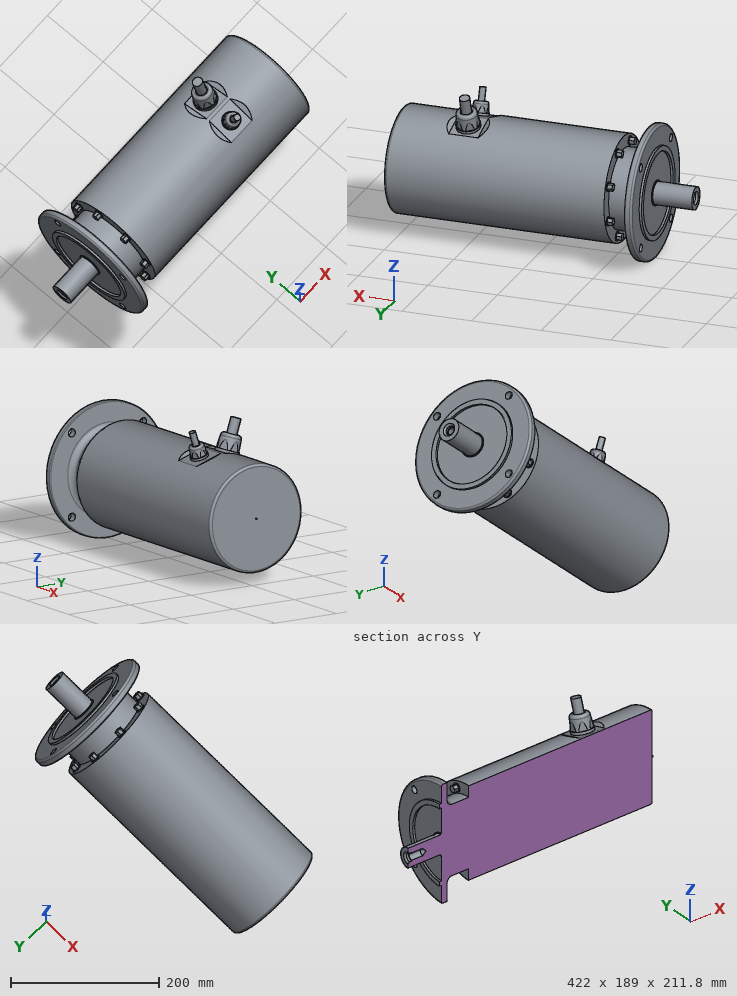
import cadquery as cq
import math

SHAFT_DIAMETER = 32.0
SPIGOT_FRONT = 54.0
SPIGOT_DIAMETER = 130.0
SPIGOT_HEIGHT = 3.5
SPIGOT_RECESS_DIAMETER = 115.0
SPIGOT_RECESS_DEPTH = 3.5
SHAFT_COLLAR_DIAMETER = 35.0
SHAFT_COLLAR_LENGTH = 1.3

FLANGE_FRONT = SPIGOT_FRONT + SPIGOT_HEIGHT
FLANGE_DIAMETER = 189.0
FLANGE_THICKNESS = 10.5
FLANGE_REAR = FLANGE_FRONT + FLANGE_THICKNESS
FLANGE_FRONT_FILLET = 3.0
FLANGE_REAR_FILLET = 1.3
FLANGE_HOLE_DIAMETER = 11.0
FLANGE_HOLE_CIRCLE = 165.0
FLANGE_HOLE_COUNT = 4
FLANGE_HOLE_START = 45.0

NECK_DIAMETER = 114.0
NECK_FILLET = 8.5

BODY_DIAMETER = 150.2
BODY_FRONT = 104.2
BODY_REAR = 420.7
BODY_REAR_FILLET = 3.5
OVERALL_LENGTH = 422.0
REAR_PIN_DIAMETER = 1.5

COUNTERSINK_DIAMETER = 18.5
COUNTERBORE_DIAMETER = 13.0
COUNTERBORE_DEPTH = 6.5
TAP_DIAMETER = 10.5
TAP_DEPTH = 25.5

SCREW_COUNT = 8
SCREW_CIRCLE = 130.5
SCREW_ACROSS_FLATS = 9.3
SCREW_HEAD_HEIGHT = 7.0
SCREW_HEXAGON_TURN = 30.0
WASHER_DIAMETER = 13.0
WASHER_THICKNESS = 1.0

GLAND_X = 318.5
GLAND_TILT = 18.0
GLAND_HEXAGON_TURN = 30.0
POCKET_LENGTH = 42.0
POCKET_RIM_LENGTH = 57.5
POCKET_FLOOR = 72.0


def disc(diameter, start, end):
    """Solid cylinder along X from start to end."""
    return cq.Workplane("YZ", origin=(start, 0, 0)).circle(diameter / 2).extrude(end - start)


def across_corners(across_flats):
    """Corner-to-corner width of a regular hexagon of the given width across flats."""
    return across_flats / math.cos(math.pi / 6)


def make_flange():
    """Mounting flange with rounded edges, a recessed spigot, a shaft collar and four holes."""
    plate = disc(FLANGE_DIAMETER, FLANGE_FRONT, FLANGE_REAR)
    plate = plate.faces("<X").edges().fillet(FLANGE_FRONT_FILLET)
    plate = plate.faces(">X").edges().fillet(FLANGE_REAR_FILLET)
    spigot = disc(SPIGOT_DIAMETER, SPIGOT_FRONT, FLANGE_FRONT)
    recess_floor = SPIGOT_FRONT + SPIGOT_RECESS_DEPTH
    recess = disc(SPIGOT_RECESS_DIAMETER, SPIGOT_FRONT, recess_floor)
    collar = disc(SHAFT_COLLAR_DIAMETER, recess_floor - SHAFT_COLLAR_LENGTH, recess_floor)
    holes = (
        cq.Workplane("YZ", origin=(FLANGE_FRONT, 0, 0))
        .polarArray(FLANGE_HOLE_CIRCLE / 2, FLANGE_HOLE_START, 360, FLANGE_HOLE_COUNT)
        .circle(FLANGE_HOLE_DIAMETER / 2)
        .extrude(FLANGE_THICKNESS)
    )
    return plate.union(spigot).cut(recess).union(collar).cut(holes)


def make_neck():
    """Neck between flange and body, flaring into the flange with a concave fillet."""
    radius = NECK_DIAMETER / 2
    fillet_end = FLANGE_REAR + NECK_FILLET
    bulge = NECK_FILLET * (1 - math.sqrt(0.5))
    return (
        cq.Workplane("XY")
        .moveTo(FLANGE_REAR, 0)
        .lineTo(FLANGE_REAR, radius + NECK_FILLET)
        .threePointArc((FLANGE_REAR + bulge, radius + bulge), (fillet_end, radius))
        .lineTo(BODY_FRONT, radius)
        .lineTo(BODY_FRONT, 0)
        .close()
        .revolve(360, (0, 0, 0), (1, 0, 0))
    )


def make_shaft():
    """Shaft end, running back into the flange through the collar."""
    return disc(SHAFT_DIAMETER, 0, FLANGE_REAR)


def make_centre_hole():
    """Countersunk and counterbored tap hole with a drill point, cut from the shaft tip."""
    sink_radius = COUNTERSINK_DIAMETER / 2
    bore_radius = COUNTERBORE_DIAMETER / 2
    tap_radius = TAP_DIAMETER / 2
    return (
        cq.Workplane("XY")
        .moveTo(0, 0)
        .lineTo(0, sink_radius)
        .lineTo(sink_radius - bore_radius, bore_radius)
        .lineTo(COUNTERBORE_DEPTH, bore_radius)
        .lineTo(COUNTERBORE_DEPTH, tap_radius)
        .lineTo(TAP_DEPTH, tap_radius)
        .lineTo(TAP_DEPTH + tap_radius, 0)
        .close()
        .revolve(360, (0, 0, 0), (1, 0, 0))
    )


def make_body():
    """Cylindrical motor body with a rounded rear edge and a small centre pin behind it."""
    body = disc(BODY_DIAMETER, BODY_FRONT, BODY_REAR).faces(">X").edges().fillet(BODY_REAR_FILLET)
    return body.union(disc(REAR_PIN_DIAMETER, BODY_REAR, OVERALL_LENGTH))


def make_screw(angle):
    """Hexagon head on its washer, seated on the front face of the body at the given angle."""
    head_seat = BODY_FRONT - WASHER_THICKNESS
    washer = disc(WASHER_DIAMETER, head_seat, BODY_FRONT)
    head = (
        cq.Workplane("YZ", origin=(head_seat, 0, 0))
        .transformed(rotate=(0, 0, SCREW_HEXAGON_TURN))
        .polygon(6, across_corners(SCREW_ACROSS_FLATS))
        .extrude(-SCREW_HEAD_HEIGHT)
    )
    screw = washer.union(head).translate((0, SCREW_CIRCLE / 2, 0))
    return screw.rotate((0, 0, 0), (1, 0, 0), angle)


def tilt_into_place(upright, tilt):
    """Move a shape built on the Z axis to the gland position and lean it toward +Y by tilt."""
    return upright.rotate((0, 0, 0), (1, 0, 0), -tilt).translate((GLAND_X, 0, 0))


def make_pocket(tilt):
    """Flat cut with sloped ends into the side of the body."""
    rim_height = BODY_DIAMETER / 2
    upright = (
        cq.Workplane("XZ")
        .moveTo(-POCKET_LENGTH / 2, POCKET_FLOOR)
        .lineTo(POCKET_LENGTH / 2, POCKET_FLOOR)
        .lineTo(POCKET_RIM_LENGTH / 2, rim_height)
        .lineTo(-POCKET_RIM_LENGTH / 2, rim_height)
        .close()
        .extrude(BODY_DIAMETER / 4, both=True)
    )
    return tilt_into_place(upright, tilt)


def make_motor():
    """Motor as one solid: flange, neck, shaft end, body and screws, less centre hole and pockets."""
    motor = make_flange().union(make_neck()).union(make_shaft()).union(make_body())
    screw_pitch = 360 / SCREW_COUNT
    for index in range(SCREW_COUNT):
        motor = motor.union(make_screw((index + 0.5) * screw_pitch))
    motor = motor.cut(make_centre_hole())
    for tilt in (GLAND_TILT, -GLAND_TILT):
        motor = motor.cut(make_pocket(tilt))
    return motor


def make_gland(tilt, base_diameter, base_height, taper_diameter, across_flats,
               cap_diameter, cap_top, cap_fillet,
               mouth_diameter, mouth_depth, cable_diameter, cable_top):
    """Cable gland and its cable: round base, tapered hexagon, domed cap with a mouth round the cable.

    The tops of the cap and the cable are distances from the motor axis.
    """
    base_top = POCKET_FLOOR + base_height
    cap_radius = cap_diameter / 2
    taper_top = cap_top - cap_fillet
    base = cq.Workplane("XY", origin=(0, 0, POCKET_FLOOR)).circle(base_diameter / 2).extrude(base_height)
    cap = (
        cq.Workplane("XY", origin=(0, 0, base_top))
        .circle(cap_radius)
        .extrude(cap_top - base_top)
        .faces(">Z")
        .edges()
        .fillet(cap_fillet)
    )
    hexagon = (
        cq.Workplane("XY", origin=(0, 0, base_top))
        .transformed(rotate=(0, 0, GLAND_HEXAGON_TURN))
        .polygon(6, across_corners(across_flats))
        .extrude(taper_top - base_top)
    )
    taper = (
        cq.Workplane("XZ")
        .moveTo(0, base_top)
        .lineTo(taper_diameter / 2, base_top)
        .lineTo(cap_radius, taper_top)
        .lineTo(0, taper_top)
        .close()
        .revolve(360, (0, 0, 0), (0, 1, 0))
    )
    mouth_floor = cap_top - mouth_depth
    mouth = cq.Workplane("XY", origin=(0, 0, mouth_floor)).circle(mouth_diameter / 2).extrude(mouth_depth)
    cable = (
        cq.Workplane("XY", origin=(0, 0, mouth_floor))
        .circle(cable_diameter / 2)
        .extrude(cable_top - mouth_floor)
    )
    upright = base.union(hexagon.intersect(taper)).union(cap).cut(mouth).union(cable)
    return tilt_into_place(upright, tilt)


motor = make_motor()
power_gland = make_gland(
    tilt=GLAND_TILT,
    base_diameter=33.8,
    base_height=4.2,
    taper_diameter=32.5,
    across_flats=30.0,
    cap_diameter=29.0,
    cap_top=98.7,
    cap_fillet=4.5,
    mouth_diameter=16.0,
    mouth_depth=2.5,
    cable_diameter=14.5,
    cable_top=121.0,
)
signal_gland = make_gland(
    tilt=-GLAND_TILT,
    base_diameter=25.0,
    base_height=3.5,
    taper_diameter=23.5,
    across_flats=21.5,
    cap_diameter=21.0,
    cap_top=91.0,
    cap_fillet=3.5,
    mouth_diameter=10.5,
    mouth_depth=1.3,
    cable_diameter=9.0,
    cable_top=110.0,
)

bodies = [motor, power_gland, signal_gland]
result = cq.Compound.makeCompound([body.solids().val() for body in bodies])